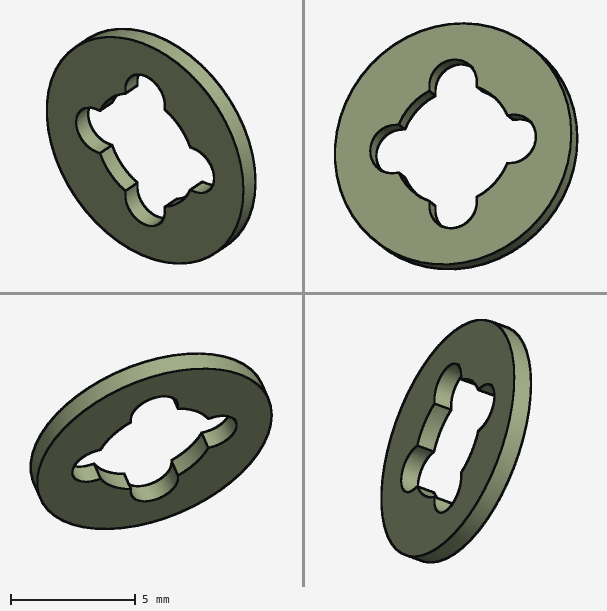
import cadquery as cq

outer_diameter = 10
thickness = 0.8
bore_diameter = 5
lobe_width = 2
lobe_span = 7

back_face = cq.Workplane("XZ", origin=(0, thickness / 2, 0))


def lobe_slot(angle):
    """Round-ended slot that forms two opposite lobes of the opening."""
    return back_face.slot2D(lobe_span, lobe_width, angle).extrude(thickness)


disc = back_face.circle(outer_diameter / 2).extrude(thickness)

bore = back_face.circle(bore_diameter / 2).extrude(thickness)
result = disc.cut(bore)
for slot_angle in (0, 90):
    result = result.cut(lobe_slot(slot_angle))